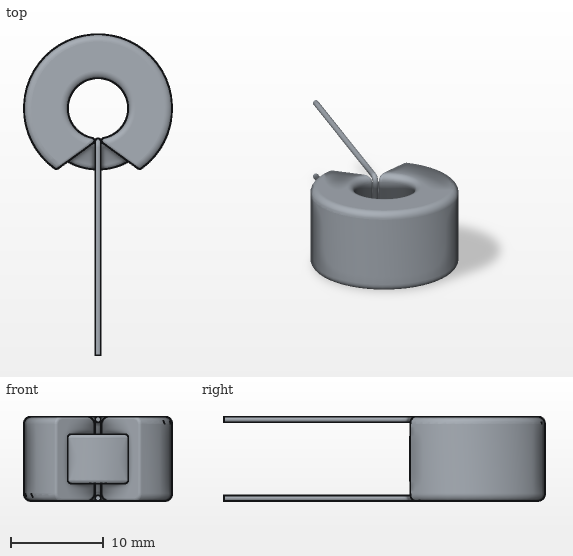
import cadquery as cq
import math

CASE_RADIUS = 8.0
HOLE_RADIUS = 3.235
CASE_HEIGHT = 9.1
RIM_FILLET = 0.8

WINDOW_APEX = 3.35
WINDOW_HALF_ANGLE = 54
WINDOW_FILLET = 0.3

CORE_RADIUS = 6.6
CORE_HOLE_RADIUS = 3.77
CORE_HEIGHT = 5.33
CORE_FILLET = 0.45

TOTAL_LENGTH = 34.6
WIRE_DIAMETER = 0.62
WIRE_BEND_RADIUS = 0.62


def ring(outer_radius, inner_radius, height, fillet):
    """Ring centred on the origin, with all four rims rounded."""
    blank = cq.Workplane("XY").circle(outer_radius).circle(inner_radius).extrude(height / 2, both=True)
    return blank.edges("%CIRCLE").fillet(fillet)


def window_cutter():
    """Cutter that leaves the case one border radius behind its final window faces."""
    reach = 2 * CASE_RADIUS
    angle = math.radians(WINDOW_HALF_ANGLE)
    apex = WINDOW_APEX - WINDOW_FILLET / math.sin(angle)
    half_width = (reach - apex) * math.tan(angle)
    return (
        cq.Workplane("XY")
        .polyline([(0, -apex), (-half_width, -reach), (half_width, -reach)])
        .close()
        .extrude(CASE_HEIGHT, both=True)
    )


def case():
    """Undersized case grown outward with round corners, which rounds every window edge."""
    undersized = ring(
        CASE_RADIUS - WINDOW_FILLET,
        HOLE_RADIUS + WINDOW_FILLET,
        CASE_HEIGHT - 2 * WINDOW_FILLET,
        RIM_FILLET - WINDOW_FILLET,
    ).cut(window_cutter())
    skin = undersized.shell(WINDOW_FILLET, kind="arc")
    return skin.union(undersized)


def wire():
    """Upright behind the core, bent at both ends into leads along -Y."""
    lead_height = (CASE_HEIGHT - WIRE_DIAMETER) / 2
    upright_y = -HOLE_RADIUS - WIRE_DIAMETER / 2
    lead_end_y = CASE_RADIUS - TOTAL_LENGTH
    bend_y = upright_y - WIRE_BEND_RADIUS
    bend_height = lead_height - WIRE_BEND_RADIUS
    path = (
        cq.Workplane("YZ")
        .moveTo(lead_end_y, -lead_height)
        .lineTo(bend_y, -lead_height)
        .tangentArcPoint((upright_y, -bend_height), relative=False)
        .lineTo(upright_y, bend_height)
        .tangentArcPoint((bend_y, lead_height), relative=False)
        .lineTo(lead_end_y, lead_height)
    )
    section = cq.Workplane("XZ", origin=(0, lead_end_y, -lead_height)).circle(WIRE_DIAMETER / 2)
    return section.sweep(path)


core = ring(CORE_RADIUS, CORE_HOLE_RADIUS, CORE_HEIGHT, CORE_FILLET)
result = case().union(core).union(wire())